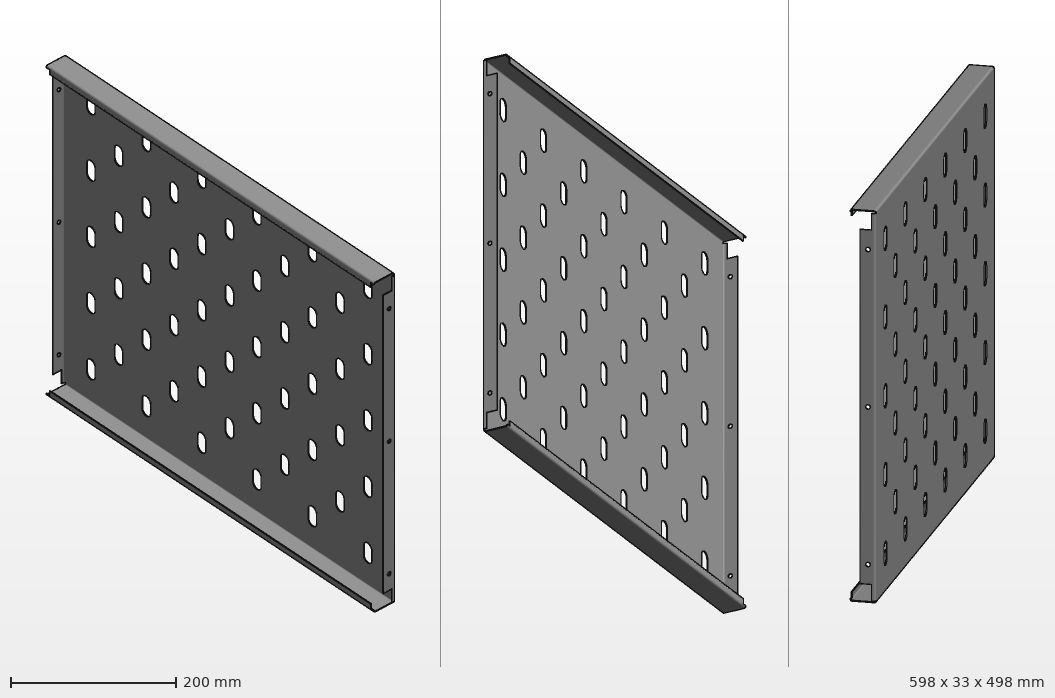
import cadquery as cq

WIDTH = 598.0
DEPTH = 33.0
HEIGHT = 498.0

THICKNESS = 1.5
INNER_RADIUS = 1.5
OUTER_RADIUS = INNER_RADIUS + THICKNESS

FLAT_WIDTH = WIDTH - 2 * OUTER_RADIUS
FLAT_HEIGHT = HEIGHT - 2 * OUTER_RADIUS
BACK_Y = DEPTH / 2

LIP_HEIGHT = 10.0
LIP_END_SETBACK = 6.0
LIP_WIDTH = FLAT_WIDTH - 2 * LIP_END_SETBACK

SIDE_FLANGE_DEPTH = 20.0
SIDE_FLANGE_HEIGHT = 450.0
SIDE_ROOT_DEPTH = 5.5

SCREW_HOLE_DIAMETER = 5.5
SCREW_HOLE_SETBACK = 10.0
SCREW_HOLE_PITCH = 200.0
SCREW_HOLE_COUNT = 3

SLOT_WIDTH = 15.0
SLOT_LENGTH = 30.0
SLOT_PITCH = 100.0
MAIN_COLUMNS, MAIN_ROWS = 6, 5


def make_panel():
    """Flat sheet between the four bends."""
    panel = cq.Workplane("XY").box(FLAT_WIDTH, THICKNESS, FLAT_HEIGHT)
    return panel.translate((0, BACK_Y - THICKNESS / 2, 0))


def make_bend(plane, length, center_u, center_v, toward_u, toward_v):
    """Quarter ring about a bend axis, filling one quadrant, centred along its length."""
    ring = (
        cq.Workplane(plane)
        .center(center_u, center_v)
        .circle(OUTER_RADIUS)
        .circle(INNER_RADIUS)
        .extrude(length / 2, both=True)
    )
    quadrant = (
        cq.Workplane(plane)
        .center(center_u, center_v)
        .rect(toward_u * OUTER_RADIUS, toward_v * OUTER_RADIUS, centered=False)
        .extrude(length / 2, both=True)
    )
    return ring.intersect(quadrant)


def make_top_edge():
    """Top flange, its two bends and the lip hanging from its front edge."""
    bend_z = HEIGHT / 2 - OUTER_RADIUS
    back_bend_y = BACK_Y - OUTER_RADIUS
    front_bend_y = -DEPTH / 2 + OUTER_RADIUS
    lip_length = LIP_HEIGHT - OUTER_RADIUS

    back_bend = make_bend("YZ", FLAT_WIDTH, back_bend_y, bend_z, 1, 1)
    front_bend = make_bend("YZ", FLAT_WIDTH, front_bend_y, bend_z, -1, 1)
    flange = (
        cq.Workplane("XY")
        .box(FLAT_WIDTH, back_bend_y - front_bend_y, THICKNESS)
        .translate((0, 0, (HEIGHT - THICKNESS) / 2))
    )
    lip = (
        cq.Workplane("XY")
        .box(LIP_WIDTH, THICKNESS, lip_length)
        .translate((0, (THICKNESS - DEPTH) / 2, bend_z - lip_length / 2))
    )
    return back_bend.union(flange).union(front_bend).union(lip)


def make_side_wall(depth, height):
    """Straight wall on the +X side, from the bend to the given depth below the back face."""
    length = depth - OUTER_RADIUS
    return (
        cq.Workplane("XY")
        .box(THICKNESS, length, height)
        .translate(((WIDTH - THICKNESS) / 2, BACK_Y - OUTER_RADIUS - length / 2, 0))
    )


def make_side_edge():
    """Bend, full-height root and shorter flange on the +X side."""
    bend = make_bend("XY", FLAT_HEIGHT, WIDTH / 2 - OUTER_RADIUS, BACK_Y - OUTER_RADIUS, 1, 1)
    root = make_side_wall(SIDE_ROOT_DEPTH, FLAT_HEIGHT)
    flange = make_side_wall(SIDE_FLANGE_DEPTH, SIDE_FLANGE_HEIGHT)
    return bend.union(root).union(flange)


def make_slots(columns, rows):
    """Grid of upright slots centred on the panel, as solids to cut away."""
    return (
        cq.Workplane("XZ")
        .rarray(SLOT_PITCH, SLOT_PITCH, columns, rows)
        .slot2D(SLOT_LENGTH, SLOT_WIDTH, 90)
        .extrude(DEPTH, both=True)
    )


def make_screw_holes():
    """Row of pins running across both side flanges, evenly spaced in Z, as solids to cut away."""
    return (
        cq.Workplane("YZ")
        .center(BACK_Y - SCREW_HOLE_SETBACK, 0)
        .rarray(1, SCREW_HOLE_PITCH, 1, SCREW_HOLE_COUNT)
        .circle(SCREW_HOLE_DIAMETER / 2)
        .extrude(WIDTH, both=True)
    )


top_edge = make_top_edge()
side_edge = make_side_edge()

result = (
    make_panel()
    .union(top_edge)
    .union(top_edge.mirror("XY"))
    .union(side_edge)
    .union(side_edge.mirror("YZ"))
    .cut(make_slots(MAIN_COLUMNS, MAIN_ROWS))
    .cut(make_slots(MAIN_COLUMNS - 1, MAIN_ROWS - 1))
    .cut(make_screw_holes())
)